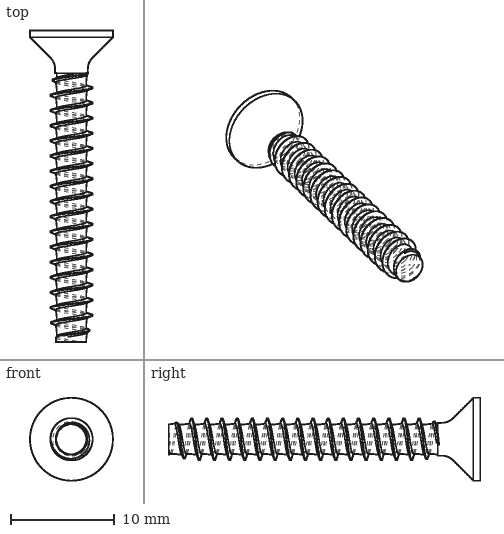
import cadquery as cq
import math

length = 30.0

head_diameter = 8.0
head_radius = head_diameter / 2
rim_thickness = 0.65
head_slope = math.radians(45)
neck_fillet = 1.5

shank_radius = 1.6
shank_end = 4.1
core_diameter = 2.85
core_radius = core_diameter / 2
tip_sag = 0.1

pitch_count = 15
pitches_span = 21.9
pitch = pitches_span / pitch_count
crest_radius = 2.05
crest_half_width = 0.03
root_half_width = 0.2
ramp_height = 0.1
ramp_radius = core_radius + ramp_height
ramp_length = 0.9
root_embed = 0.015
root_radius = core_radius - root_embed

full_thread_start = 5.52
full_thread_end = 28.0
run_in_length = 1.95
run_out_length = 1.68
sunk_crest_radius = 1.47


def make_body():
    """Revolve the head, the filleted neck, the shank and the core."""
    cone_end_radius = shank_radius + neck_fillet * (1 - math.cos(head_slope))
    cone_end = rim_thickness + (head_radius - cone_end_radius) / math.tan(head_slope)
    fillet_end = cone_end + neck_fillet * math.sin(head_slope)
    half_slope = head_slope / 2
    fillet_middle = (
        shank_radius + neck_fillet * (1 - math.cos(half_slope)),
        -(fillet_end - neck_fillet * math.sin(half_slope)),
    )
    return (
        cq.Workplane("XY")
        .lineTo(head_radius, 0)
        .lineTo(head_radius, -rim_thickness)
        .lineTo(cone_end_radius, -cone_end)
        .threePointArc(fillet_middle, (shank_radius, -fillet_end))
        .lineTo(shank_radius, -shank_end)
        .lineTo(core_radius, -shank_end)
        .lineTo(core_radius, -length)
        .lineTo(0, -length)
        .close()
        .revolve(360, (0, 0), (0, 1))
    )


def make_tip_cutter():
    """Solid beyond the tip, domed where it hollows the end face."""
    sphere_radius = (core_radius**2 + tip_sag**2) / (2 * tip_sag)
    cutter = cq.Workplane("XZ", origin=(0, -length, 0)).circle(head_radius).extrude(pitch)
    dome = cq.Workplane("XY").sphere(sphere_radius)
    return cutter.union(dome.translate((0, tip_sag - sphere_radius - length, 0)))


def helix(start_radius, end_radius, span):
    """Right-handed helix along +Z, starting on +X, whose radius changes evenly."""
    cone_angle = math.atan2(end_radius - start_radius, span)
    if cone_angle == 0:
        return cq.Wire.makeHelix(pitch, span, start_radius)
    slant = 1 / math.cos(cone_angle)
    return cq.Wire.makeHelix(
        pitch * slant, span * slant, start_radius, angle=math.degrees(cone_angle)
    )


def corner_path(shift, radii, depths):
    """Helical edges traced by one thread corner, with its radius at each of the depths.

    The shift moves the corner along the axis from the crest centre toward the tip.
    """
    axis = (cq.Vector(0, 0, 0), cq.Vector(0, 0, 1))
    edges = []
    for i in range(len(depths) - 1):
        turn = 360 * (depths[i] - full_thread_start) / pitch
        curve = helix(radii[i], radii[i + 1], depths[i + 1] - depths[i])
        curve = curve.rotate(*axis, turn).translate(cq.Vector(0, 0, depths[i] + shift))
        edges.append(curve.Edges()[0])
    return edges


def make_thread():
    """Tooth and ramp in one solid, from inside the shank to past the tip."""
    ramp_slope = ramp_height / (ramp_length - root_half_width)
    ramp_foot = ramp_length + root_embed / ramp_slope
    depths = [
        shank_end - ramp_foot,
        full_thread_start - run_in_length,
        full_thread_start,
        full_thread_end,
        full_thread_end + run_out_length,
        length + root_half_width,
    ]
    crest_radii = [sunk_crest_radius] * 2 + [crest_radius] * 2 + [sunk_crest_radius] * 2
    root_radii = [root_radius] * len(depths)
    ramp_radii = [ramp_radius] * len(depths)
    paths = [
        corner_path(-root_half_width, root_radii, depths),
        corner_path(-crest_half_width, crest_radii, depths),
        corner_path(crest_half_width, crest_radii, depths),
        corner_path(root_half_width, ramp_radii, depths),
        corner_path(ramp_foot, root_radii, depths),
    ]
    faces = []
    for path, next_path in zip(paths, paths[1:] + paths[:1]):
        faces += [cq.Face.makeRuledSurface(a, b) for a, b in zip(path, next_path)]
    start_outline = cq.Wire.makePolygon([path[0].startPoint() for path in paths], close=True)
    end_outline = cq.Wire.makePolygon([path[-1].endPoint() for path in paths], close=True)
    faces += [cq.Face.makeFromWires(start_outline), cq.Face.makeFromWires(end_outline)]
    thread = cq.Solid.makeSolid(cq.Shell.makeShell(faces))
    return cq.Workplane(thread).rotate((0, 0, 0), (1, 0, 0), 90)


screw = make_body().union(make_thread()).cut(make_tip_cutter())
result = cq.Workplane(screw.solids().val())